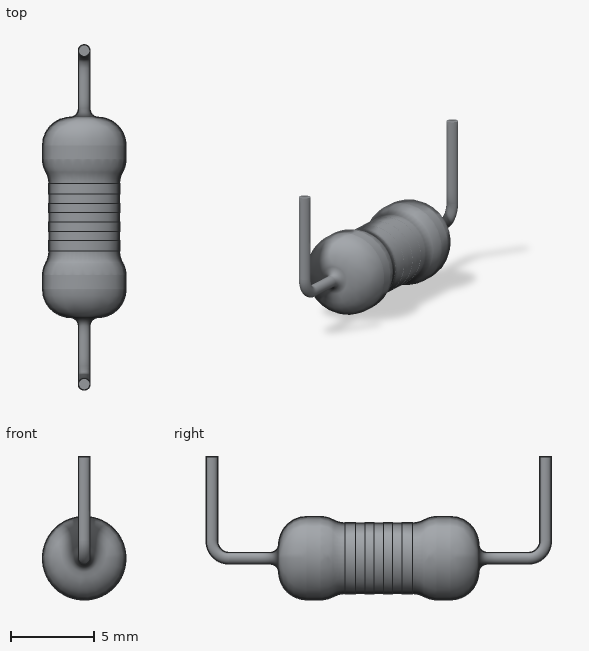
import cadquery as cq
import math

LENGTH = 20.7
LEAD_RADIUS = 0.35
LEAD_TOP = 6.09
BEND_RADIUS = 1.04

BODY_HALF_LENGTH = 6.0
CAP_RADIUS = 2.5
CAP_ROUNDING = 1.7
CAP_STRAIGHT = 0.83
COLLAR_FILLET = 0.5

NECK_RADIUS = 4.25 / 2
BAND_RADIUS = 4.26 / 2
BAND_COUNT = 4
OUTER_BAND_WIDTH = 0.62
INNER_BAND_WIDTH = 0.55

lead_y = LENGTH / 2 - LEAD_RADIUS
collar_y = BODY_HALF_LENGTH + COLLAR_FILLET
cap_outer_y = BODY_HALF_LENGTH - CAP_ROUNDING
cap_inner_y = cap_outer_y - CAP_STRAIGHT
band_gap_count = BAND_COUNT - 1
inner_stripe_count = BAND_COUNT - 2 + band_gap_count
inner_half_length = inner_stripe_count * INNER_BAND_WIDTH / 2
neck_y = inner_half_length + OUTER_BAND_WIDTH

blend_y = (cap_inner_y + neck_y) / 2
blend_radius = (CAP_RADIUS + NECK_RADIUS) / 2
arc_length_y = cap_inner_y - blend_y
arc_drop = CAP_RADIUS - blend_radius
arc_radius = (arc_length_y**2 + arc_drop**2) / (2 * arc_drop)
arc_half_angle = math.asin(arc_length_y / arc_radius) / 2
arc_mid_y = arc_radius * math.sin(arc_half_angle)
arc_mid_drop = arc_radius * (1 - math.cos(arc_half_angle))


def rounded_corner(center_x, center_y, radius, direction_x, direction_y):
    """Midpoint of a quarter arc lying in the given diagonal direction from its centre."""
    offset = radius * math.sqrt(0.5)
    return (center_x + direction_x * offset, center_y + direction_y * offset)


def make_cap():
    """Revolve the +Y end of the body: blend from the neck, cap and the collar around the lead."""
    collar_radius = LEAD_RADIUS + COLLAR_FILLET
    cap_face_radius = CAP_RADIUS - CAP_ROUNDING
    collar_base_y = cap_outer_y + math.sqrt(CAP_ROUNDING**2 - (collar_radius - cap_face_radius) ** 2)
    cap_mid = rounded_corner(cap_face_radius, cap_outer_y, CAP_ROUNDING, 1, 1)
    collar_mid = rounded_corner(collar_radius, collar_y, COLLAR_FILLET, -1, -1)
    profile = (
        cq.Workplane("XY")
        .moveTo(0, neck_y)
        .lineTo(NECK_RADIUS, neck_y)
        .threePointArc((NECK_RADIUS + arc_mid_drop, neck_y + arc_mid_y), (blend_radius, blend_y))
        .threePointArc((CAP_RADIUS - arc_mid_drop, cap_inner_y - arc_mid_y), (CAP_RADIUS, cap_inner_y))
        .lineTo(CAP_RADIUS, cap_outer_y)
        .threePointArc(cap_mid, (collar_radius, collar_base_y))
        .threePointArc(collar_mid, (LEAD_RADIUS, collar_y))
        .lineTo(0, collar_y)
        .close()
    )
    return profile.revolve(360, (0, 0, 0), (0, 1, 0))


def make_cylinder(start_y, width, radius):
    """Solid cylinder on the body axis, growing toward +Y."""
    return cq.Workplane("XZ", origin=(0, start_y, 0)).circle(radius).extrude(-width)


def make_lead():
    """Round wire leaving the +Y end of the body and bending up."""
    bend_start_y = lead_y - BEND_RADIUS
    bend_mid = rounded_corner(bend_start_y, BEND_RADIUS, BEND_RADIUS, 1, -1)
    path = (
        cq.Workplane("YZ")
        .moveTo(collar_y, 0)
        .lineTo(bend_start_y, 0)
        .threePointArc(bend_mid, (lead_y, BEND_RADIUS))
        .lineTo(lead_y, LEAD_TOP)
    )
    return cq.Workplane("XZ", origin=(0, collar_y, 0)).circle(LEAD_RADIUS).sweep(path)


end = make_cap().union(make_lead())
neck = make_cylinder(-neck_y, 2 * neck_y, NECK_RADIUS)
result = neck.union(end).union(end.mirror("XZ"))

result = result.union(make_cylinder(inner_half_length, OUTER_BAND_WIDTH, BAND_RADIUS))
result = result.union(make_cylinder(-neck_y, OUTER_BAND_WIDTH, BAND_RADIUS))
for band in range(BAND_COUNT - 2):
    band_start_y = -inner_half_length + (2 * band + 1) * INNER_BAND_WIDTH
    result = result.union(make_cylinder(band_start_y, INNER_BAND_WIDTH, BAND_RADIUS))